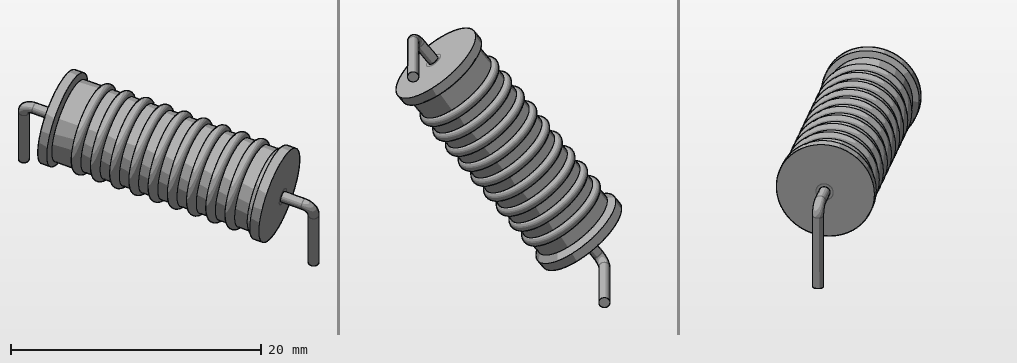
import cadquery as cq

body_diameter = 7.0
flange_diameter = 8.0
body_length = 20.0
end_flat_diameter = 1.4
end_cone_depth = 0.3
flange_rim_width = 0.8
left_bevel_width = 0.22
right_bevel_width = 0.45

ring_count = 9
ring_pitch = 1.685
ring_row_center_x = 0.19
ring_section_radius = 0.43
ring_outer_diameter = 7.7

lead_diameter = 0.9
lead_pitch = 25.4
lead_bend_radius = 0.9
lead_drop = 7.1

body_radius = body_diameter / 2
flange_radius = flange_diameter / 2
end_flat_radius = end_flat_diameter / 2
face_x = body_length / 2
rim_outer_x = face_x - end_cone_depth
rim_inner_x = rim_outer_x - flange_rim_width


def make_body():
    """Cylinder with a bevelled flange and a shallow conical face at each end."""
    half_profile = [
        (-face_x, 0),
        (-face_x, end_flat_radius),
        (-rim_outer_x, flange_radius),
        (-rim_inner_x, flange_radius),
        (-rim_inner_x + left_bevel_width, body_radius),
        (rim_inner_x - right_bevel_width, body_radius),
        (rim_inner_x, flange_radius),
        (rim_outer_x, flange_radius),
        (face_x, end_flat_radius),
        (face_x, 0),
    ]
    return cq.Workplane("XY").polyline(half_profile).close().revolve(360, (0, 0, 0), (1, 0, 0))


def make_ring(center_x):
    """Round-section ring partly sunk into the body."""
    section_center_radius = ring_outer_diameter / 2 - ring_section_radius
    return (
        cq.Workplane("XY")
        .center(center_x, section_center_radius)
        .circle(ring_section_radius)
        .revolve(360, (0, -section_center_radius, 0), (1, -section_center_radius, 0))
    )


def make_lead(side):
    """Round wire leaving the end face along X and bending down; side is -1 or +1."""
    lead_radius = lead_diameter / 2
    root_x = side * rim_outer_x
    tip_x = side * lead_pitch / 2
    bend_start_x = tip_x - side * lead_bend_radius
    path = (
        cq.Workplane("XZ")
        .moveTo(root_x, 0)
        .lineTo(bend_start_x, 0)
        .tangentArcPoint((tip_x, -lead_bend_radius), relative=False)
        .lineTo(tip_x, -lead_drop)
    )
    return cq.Workplane("YZ", origin=(root_x, 0, 0)).circle(lead_radius).sweep(path)


result = make_body()

first_ring_x = ring_row_center_x - ring_pitch * (ring_count - 1) / 2
for index in range(ring_count):
    result = result.union(make_ring(first_ring_x + index * ring_pitch))

for side in (-1, 1):
    result = result.union(make_lead(side))